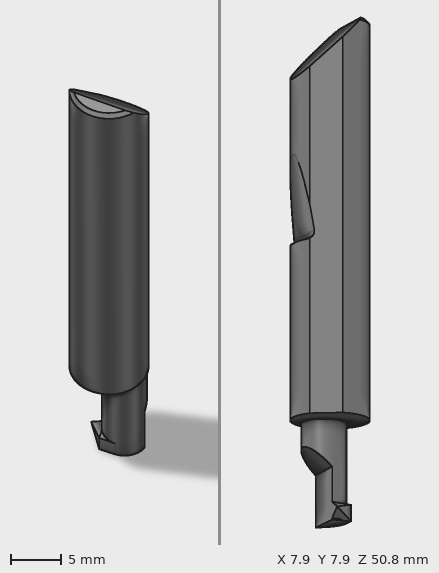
import cadquery as cq
import math

TOTAL_LENGTH = 50.8
SHANK_RADIUS = 3.95
SHANK_BOTTOM = 10.2
TOP_CHAMFER = 0.4
BEVEL_EDGE_Y = -2.2

FLAT_DISTANCE = 3.6
FLAT_ANGLE = 153.0

NOTCH_BOTTOM = 27.9
NOTCH_TOP = 37.0
NOTCH_SLOPE = 8.8
NOTCH_FILLET = 0.75

NECK_RADIUS = 2.26
NECK_X = SHANK_RADIUS - NECK_RADIUS
RAMP_TOP = 7.65

TOOTH_TIP_X = -2.0
TOOTH_TIP_Z = 1.05
TOOTH_TOP_X = -0.4
TOOTH_TOP_Z = 1.95
TOOTH_BOTTOM_X = -0.3
TOOTH_BACK_X = 0.0
TOP_RELIEF = 0.06
BOTTOM_RELIEF_X = 0.03
BOTTOM_RELIEF_Y = 0.06

MARGIN = 2.55


def end_face_z(x, y):
    """Height of the tilted end face of the neck and tooth."""
    return BOTTOM_RELIEF_X * (x - TOOTH_BOTTOM_X) - BOTTOM_RELIEF_Y * y


def yz_prism(points):
    """Prism across the full width of the shank with a (Y, Z) outline."""
    return cq.Workplane("YZ").polyline(points).close().extrude(SHANK_RADIUS + MARGIN, both=True)


def polyhedron(faces):
    """Solid bounded by flat faces, each given as a list of corners."""
    face_shapes = [
        cq.Face.makeFromWires(cq.Wire.makePolygon([cq.Vector(*p) for p in corners], close=True))
        for corners in faces
    ]
    return cq.Workplane(cq.Solid.makeSolid(cq.Shell.makeShell(face_shapes)))


def make_notch():
    slope = math.radians(NOTCH_SLOPE)
    floor_length = (NOTCH_TOP - NOTCH_BOTTOM) * math.cos(slope)
    corner = (
        SHANK_RADIUS - floor_length * math.sin(slope),
        NOTCH_TOP - floor_length * math.cos(slope),
    )
    wall_end = (SHANK_RADIUS + MARGIN, NOTCH_BOTTOM - MARGIN * math.tan(slope))
    floor_end = (SHANK_RADIUS + MARGIN, NOTCH_TOP + MARGIN / math.tan(slope))
    notch = yz_prism([corner, wall_end, floor_end])
    return notch.edges("<Y").fillet(NOTCH_FILLET)


def make_shank():
    shank = (
        cq.Workplane("XY", origin=(0, 0, SHANK_BOTTOM))
        .circle(SHANK_RADIUS)
        .extrude(TOTAL_LENGTH - SHANK_BOTTOM)
        .faces(">Z")
        .chamfer(TOP_CHAMFER)
    )
    flat_cutter = (
        cq.Workplane("XY")
        .box(MARGIN, 2 * SHANK_RADIUS, TOTAL_LENGTH + MARGIN, centered=(False, True, False))
        .translate((FLAT_DISTANCE, 0, 0))
        .rotate((0, 0, 0), (0, 0, 1), FLAT_ANGLE)
    )
    bevel_run = SHANK_RADIUS + MARGIN - BEVEL_EDGE_Y
    bevel_cutter = yz_prism([
        (BEVEL_EDGE_Y - MARGIN, TOTAL_LENGTH + MARGIN),
        (BEVEL_EDGE_Y + bevel_run, TOTAL_LENGTH + MARGIN),
        (BEVEL_EDGE_Y + bevel_run, TOTAL_LENGTH - bevel_run),
    ])
    return shank.cut(flat_cutter).cut(bevel_cutter).cut(make_notch())


def make_neck():
    neck = cq.Workplane("XY").center(NECK_X, 0).circle(NECK_RADIUS).extrude(SHANK_BOTTOM)
    ramp_run = NECK_RADIUS + MARGIN
    ramp_bottom = RAMP_TOP - NECK_RADIUS
    half_cutter = yz_prism([
        (0, -MARGIN),
        (0, ramp_bottom),
        (ramp_run, ramp_bottom + ramp_run),
        (ramp_run, -MARGIN),
    ])
    end_plane = cq.Plane(
        origin=(TOOTH_BOTTOM_X, 0, 0),
        normal=(-BOTTOM_RELIEF_X, BOTTOM_RELIEF_Y, 1),
    )
    end_cutter = cq.Workplane(end_plane).circle(4 * NECK_RADIUS).extrude(-MARGIN)
    return neck.cut(half_cutter).cut(end_cutter)


def make_tooth():
    back_y = -NECK_RADIUS
    back_top_z = TOOTH_TOP_Z - TOP_RELIEF * NECK_RADIUS
    tip = (TOOTH_TIP_X, 0, TOOTH_TIP_Z)
    rake_top = (TOOTH_TOP_X, 0, TOOTH_TOP_Z)
    rake_bottom = (TOOTH_BOTTOM_X, 0, 0)
    back_top = (TOOTH_BACK_X, back_y, back_top_z)
    back_bottom = (TOOTH_BACK_X, back_y, end_face_z(TOOTH_BACK_X, back_y))
    root_rake_top = (NECK_X, 0, TOOTH_TOP_Z)
    root_rake_bottom = (NECK_X, 0, end_face_z(NECK_X, 0))
    root_back_top = (NECK_X, back_y, back_top_z)
    root_back_bottom = (NECK_X, back_y, end_face_z(NECK_X, back_y))
    return polyhedron([
        [tip, rake_top, root_rake_top, root_rake_bottom, rake_bottom],
        [tip, back_top, rake_top],
        [tip, back_bottom, back_top],
        [tip, rake_bottom, back_bottom],
        [rake_top, back_top, root_back_top, root_rake_top],
        [rake_bottom, root_rake_bottom, root_back_bottom, back_bottom],
        [back_top, back_bottom, root_back_bottom, root_back_top],
        [root_rake_top, root_back_top, root_back_bottom, root_rake_bottom],
    ])


result = make_shank().union(make_neck()).union(make_tooth())